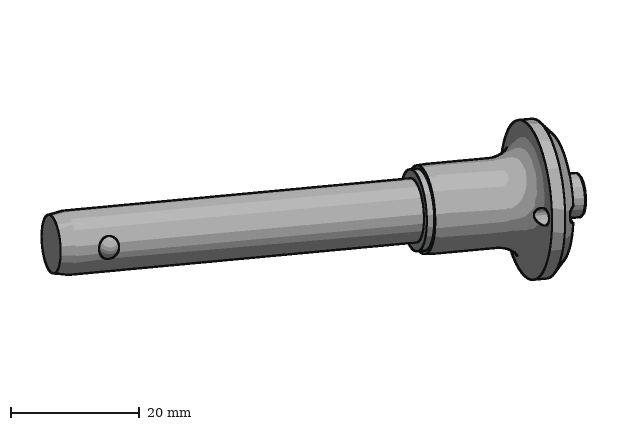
import cadquery as cq

total_length = 86.9

button_radius = 3.5
button_length = 4.5
button_chamfer = 0.3

rim_radius = 12.5
rim_bevel = 2.1
rim_width = 2.2
body_radius = 7.0
flare_radius = rim_radius - body_radius
body_length = 10.25
taper_length = 1.6
taper_depth = 0.1
collar_radius = 6.4
collar_length = 1.2

shank_radius = 5.0
tip_radius = 4.6
tip_length = 2.4

ball_radius = 2.0
ball_reach = 5.9
ball_from_tip = 7.8

hole_diameter = 2.8
hole_offset = 10.0

rim_back = total_length - button_length
rim_edge = rim_back - rim_bevel
rim_front = rim_edge - rim_width
flare_front = rim_front - flare_radius
body_front = flare_front - body_length
taper_front = body_front - taper_length
collar_front = taper_front - collar_length


def turned_body():
    """Revolve the half profile of button, handle and shank about the Y axis."""
    return (
        cq.Workplane("XY")
        .moveTo(0, 0)
        .lineTo(tip_radius, 0)
        .lineTo(shank_radius, tip_length)
        .lineTo(shank_radius, collar_front)
        .lineTo(collar_radius, collar_front)
        .lineTo(collar_radius, taper_front)
        .lineTo(body_radius - taper_depth, taper_front)
        .lineTo(body_radius, body_front)
        .lineTo(body_radius, flare_front)
        .tangentArcPoint((rim_radius, rim_front), relative=False)
        .lineTo(rim_radius, rim_edge)
        .lineTo(rim_radius - rim_bevel, rim_back)
        .lineTo(button_radius, rim_back)
        .lineTo(button_radius, total_length - button_chamfer)
        .lineTo(button_radius - button_chamfer, total_length)
        .lineTo(0, total_length)
        .close()
        .revolve(360, (0, 0, 0), (0, 1, 0))
    )


def locking_ball(side):
    """Ball partly sunk in the shank; side is +1 or -1 along X."""
    centre_x = side * (ball_reach - ball_radius)
    return cq.Workplane("XY").sphere(ball_radius).translate((centre_x, ball_from_tip, 0))


def lanyard_hole():
    """Cylinder along Y that cuts through the flare and the rim."""
    return (
        cq.Workplane("XZ", origin=(hole_offset, total_length, 0))
        .circle(hole_diameter / 2)
        .extrude(total_length - flare_front)
    )


result = turned_body().cut(lanyard_hole())
for ball_side in (-1, 1):
    result = result.union(locking_ball(ball_side))